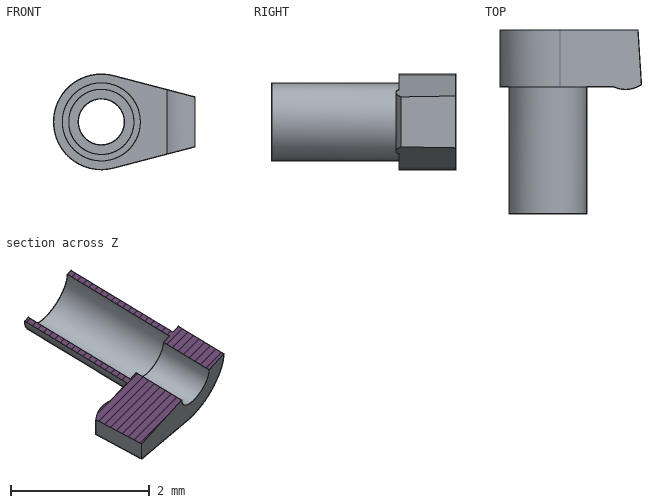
import cadquery as cq
import math

head_radius = 0.69
head_thickness = 0.82
nose_reach = 1.35
nose_back_reach = 1.30
nose_half_width = 0.36

pad_radius = 0.40
pad_height = 0.04
pad_center_x = 1.12

tube_length = 1.83
tube_outer_diameter = 1.125
tube_inner_diameter = 0.94
head_hole_diameter = 0.66

pad_center_y = pad_radius - pad_height
pad_start_x = pad_center_x - math.sqrt(pad_radius**2 - pad_center_y**2)
nose_edge_y = pad_center_y - math.sqrt(pad_radius**2 - (nose_reach - pad_center_x) ** 2)

nose_corner_distance = math.hypot(nose_reach, nose_half_width)
flank_angle = math.asin(head_radius / nose_corner_distance) - math.atan2(nose_half_width, nose_reach)
tangent_x = head_radius * math.sin(flank_angle)
tangent_z = head_radius * math.cos(flank_angle)


def cylinder_along_y(diameter, y_start, y_end):
    """Cylinder on the bore axis between two Y positions, y_start < y_end."""
    base = cq.Workplane("XZ", origin=(0, y_end, 0))
    return base.circle(diameter / 2).extrude(y_end - y_start)


def tapered_outline():
    """Round head with tangent flanks, extruded through the head and the pad."""
    return (
        cq.Workplane("XZ", origin=(0, head_thickness, 0))
        .moveTo(tangent_x, tangent_z)
        .lineTo(nose_reach, nose_half_width)
        .lineTo(nose_reach, -nose_half_width)
        .lineTo(tangent_x, -tangent_z)
        .threePointArc((-head_radius, 0), (tangent_x, tangent_z))
        .close()
        .extrude(head_thickness + pad_height)
    )


def side_profile():
    """Flat back and front faces, sloped nose and rounded pad, extruded along Z."""
    return (
        cq.Workplane("XY")
        .moveTo(-head_radius, 0)
        .lineTo(pad_start_x, 0)
        .threePointArc((pad_center_x, -pad_height), (nose_reach, nose_edge_y))
        .lineTo(nose_back_reach, head_thickness)
        .lineTo(-head_radius, head_thickness)
        .close()
        .extrude(head_radius, both=True)
    )


lug = tapered_outline().intersect(side_profile())
tube = cylinder_along_y(tube_outer_diameter, -tube_length, head_thickness)
tube_bore = cylinder_along_y(tube_inner_diameter, -tube_length, 0)
head_hole = cylinder_along_y(head_hole_diameter, 0, head_thickness)

result = lug.union(tube).cut(tube_bore).cut(head_hole)